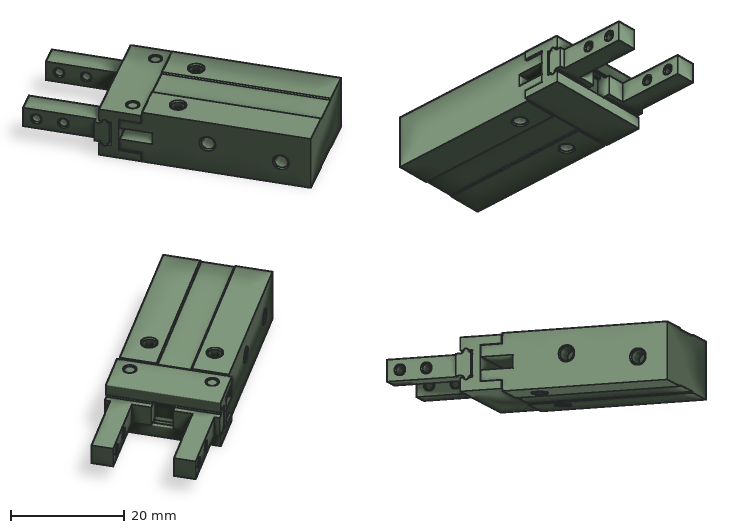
import cadquery as cq


TOTAL_LENGTH = 53.0
BLOCK_WIDTH = 20.0
BLOCK_HEIGHT = 10.5
BLOCK_FRONT_X = 21.95

CHANNEL_MOUTH_WIDTH = 6.5
CHANNEL_FLOOR_WIDTH = 6.0
CHANNEL_DEPTH = 0.2

RAIL_FRONT_X = 14.15
RAIL_WIDTH = 21.0
RAIL_HEIGHT = 9.75
RAIL_EDGE_RADIUS = 0.2
ARM_INNER_HEIGHT = 6.55
WEB_BACK_X = 17.9

WINDOW_HEIGHT = 2.4
WINDOW_END_X = 23.9

SLOT_HEIGHT = 4.95
SLOT_FLOOR_X = 16.5

RIDGE_X = 15.25
RIDGE_BASE_WIDTH = 1.75
BEAD_RADIUS = 0.4
BEAD_CENTER_Z = 2.4

FINGER_SIZE = 4.0
FINGER_CENTER_Y = 7.5
SLIDE_FRONT_X = 13.35
SLIDE_BACK_X = RIDGE_X + RIDGE_BASE_WIDTH / 2
SLIDE_INNER_Y = 2.0
SLIDE_OUTER_Y = RAIL_WIDTH / 2
FINGER_HOLE_XS = (2.45, 7.4)
FINGER_HOLE_DIAMETER = 1.6
FINGER_HOLE_MOUTH = 2.05

MOUNT_HOLE_X = 27.5
MOUNT_HOLE_Y = 6.0
MOUNT_HOLE_DIAMETER = 2.5
MOUNT_HOLE_MOUTH = 3.0

RECESS_X = 19.6
RECESS_Y = 7.5
RECESS_FLOOR = 1.9
RECESS_MOUTH = 2.45
RECESS_DEPTH = 0.15

PORT_CENTERS_XZ = ((34.0, 0.75), (47.5, -0.75))
PORT_DIAMETER = 2.5
PORT_MOUTH = 3.0
PORT_DEPTH = 4.0
PILOT_DIAMETER = 0.5
PILOT_DEPTH = 2.0


def centered_box(x_start, x_end, width, height):
    """Box between two X positions, centered on Y = 0 and Z = 0."""
    box = cq.Workplane("XY").box(x_end - x_start, width, height, centered=(False, True, True))
    return box.translate((x_start, 0, 0))


def hole_cutter(start, direction, diameter, mouth_diameter, depth):
    """Cylinder running from `start` along `direction`, with a 45 degree countersink at its start."""
    origin = cq.Vector(*start)
    axis = cq.Vector(*direction)
    sink_depth = (mouth_diameter - diameter) / 2
    bore = cq.Solid.makeCylinder(diameter / 2, depth, origin, axis)
    sink = cq.Solid.makeCone(mouth_diameter / 2, diameter / 2, sink_depth, origin, axis)
    return cq.Workplane(bore.fuse(sink))


def through_hole_cutter(start, direction, diameter, mouth_diameter, depth):
    """Through hole of length `depth`, countersunk at both ends."""
    axis = cq.Vector(*direction)
    end = cq.Vector(*start) + axis * depth
    near = hole_cutter(start, direction, diameter, mouth_diameter, depth)
    far = hole_cutter(end.toTuple(), (-axis).toTuple(), diameter, mouth_diameter, depth)
    return near.union(far)


def bead_rods(length):
    """Top and bottom round rods that form the beads, centered along Y."""
    centers = [(RIDGE_X, side * BEAD_CENTER_Z) for side in (-1, 1)]
    return cq.Workplane("XZ").pushPoints(centers).circle(BEAD_RADIUS).extrude(length / 2, both=True)


def ridge_pair(length):
    """Top and bottom ridges with the slide core between them, centered along Y."""
    base = RIDGE_BASE_WIDTH / 2
    base_z = FINGER_SIZE / 2
    shoulders = (
        cq.Workplane("XZ")
        .moveTo(RIDGE_X - base, base_z)
        .lineTo(RIDGE_X - BEAD_RADIUS, BEAD_CENTER_Z)
        .lineTo(RIDGE_X + BEAD_RADIUS, BEAD_CENTER_Z)
        .lineTo(RIDGE_X + base, base_z)
        .lineTo(RIDGE_X + base, -base_z)
        .lineTo(RIDGE_X + BEAD_RADIUS, -BEAD_CENTER_Z)
        .lineTo(RIDGE_X - BEAD_RADIUS, -BEAD_CENTER_Z)
        .lineTo(RIDGE_X - base, -base_z)
        .close()
        .extrude(length / 2, both=True)
    )
    return shoulders.union(bead_rods(length))


def make_block():
    block = centered_box(BLOCK_FRONT_X, TOTAL_LENGTH, BLOCK_WIDTH, BLOCK_HEIGHT)
    nose = centered_box(WEB_BACK_X, BLOCK_FRONT_X, BLOCK_WIDTH, ARM_INNER_HEIGHT)
    window = centered_box(WEB_BACK_X, WINDOW_END_X, BLOCK_WIDTH, WINDOW_HEIGHT)
    return block.cut(make_channel(1)).cut(make_channel(-1)).union(nose).cut(window)


def make_channel(side):
    """Channel cutter for the top (side = 1) or the bottom (side = -1) of the block."""
    surface_z = side * BLOCK_HEIGHT / 2
    floor_z = surface_z - side * CHANNEL_DEPTH
    return (
        cq.Workplane("YZ", origin=(BLOCK_FRONT_X, 0, 0))
        .moveTo(-CHANNEL_MOUTH_WIDTH / 2, surface_z)
        .lineTo(CHANNEL_MOUTH_WIDTH / 2, surface_z)
        .lineTo(CHANNEL_FLOOR_WIDTH / 2, floor_z)
        .lineTo(-CHANNEL_FLOOR_WIDTH / 2, floor_z)
        .close()
        .extrude(TOTAL_LENGTH - BLOCK_FRONT_X)
    )


def make_rail():
    rail = centered_box(RAIL_FRONT_X, BLOCK_FRONT_X, RAIL_WIDTH, RAIL_HEIGHT)
    rail = rail.faces("<X").edges(">Z").fillet(RAIL_EDGE_RADIUS)
    nose_gap = centered_box(WEB_BACK_X, BLOCK_FRONT_X, RAIL_WIDTH, ARM_INNER_HEIGHT)
    slot = centered_box(RAIL_FRONT_X, SLOT_FLOOR_X, RAIL_WIDTH, SLOT_HEIGHT)
    rail = rail.cut(nose_gap).cut(slot)
    for side in (-1, 1):
        for edge_x in (RAIL_FRONT_X, SLOT_FLOOR_X):
            slot_edge = cq.selectors.NearestToPointSelector((edge_x, 0, side * SLOT_HEIGHT / 2))
            rail = rail.edges(slot_edge).fillet(RAIL_EDGE_RADIUS)
    return rail.cut(bead_rods(RAIL_WIDTH))


def cut_mount_holes(housing):
    for side in (-1, 1):
        start = (MOUNT_HOLE_X, side * MOUNT_HOLE_Y, BLOCK_HEIGHT / 2)
        hole = through_hole_cutter(
            start, (0, 0, -1), MOUNT_HOLE_DIAMETER, MOUNT_HOLE_MOUTH, BLOCK_HEIGHT
        )
        housing = housing.cut(hole)
    return housing


def cut_recesses(housing):
    for side in (-1, 1):
        start = cq.Vector(RECESS_X, side * RECESS_Y, RAIL_HEIGHT / 2)
        recess = cq.Solid.makeCone(
            RECESS_MOUTH / 2, RECESS_FLOOR / 2, RECESS_DEPTH, start, cq.Vector(0, 0, -1)
        )
        housing = housing.cut(cq.Workplane(recess))
    return housing


def cut_ports(housing):
    for port_x, port_z in PORT_CENTERS_XZ:
        start = (port_x, -BLOCK_WIDTH / 2, port_z)
        port = hole_cutter(start, (0, 1, 0), PORT_DIAMETER, PORT_MOUTH, PORT_DEPTH)
        pilot = cq.Solid.makeCylinder(
            PILOT_DIAMETER / 2, PORT_DEPTH + PILOT_DEPTH, cq.Vector(*start), cq.Vector(0, 1, 0)
        )
        housing = housing.cut(port).cut(cq.Workplane(pilot))
    return housing


def make_housing():
    housing = make_block().union(make_rail())
    housing = cut_mount_holes(housing)
    housing = cut_recesses(housing)
    return cut_ports(housing)


def make_finger(side):
    """Finger on the +Y (side = 1) or -Y (side = -1) half of the rail."""
    slide_length = SLIDE_OUTER_Y - SLIDE_INNER_Y
    slide_y = side * (SLIDE_OUTER_Y + SLIDE_INNER_Y) / 2
    finger_y = side * FINGER_CENTER_Y
    bar = centered_box(0, SLIDE_BACK_X, FINGER_SIZE, FINGER_SIZE).translate((0, finger_y, 0))
    slide = centered_box(SLIDE_FRONT_X, SLIDE_BACK_X, slide_length, FINGER_SIZE)
    slide = slide.union(ridge_pair(slide_length)).translate((0, slide_y, 0))
    finger = bar.union(slide)
    for hole_x in FINGER_HOLE_XS:
        hole_start = (hole_x, finger_y - FINGER_SIZE / 2, 0)
        finger = finger.cut(
            through_hole_cutter(hole_start, (0, 1, 0), FINGER_HOLE_DIAMETER, FINGER_HOLE_MOUTH, FINGER_SIZE)
        )
    return finger


housing = make_housing()
fingers = [make_finger(side) for side in (-1, 1)]

result = cq.Compound.makeCompound([housing.val(), *[finger.val() for finger in fingers]])